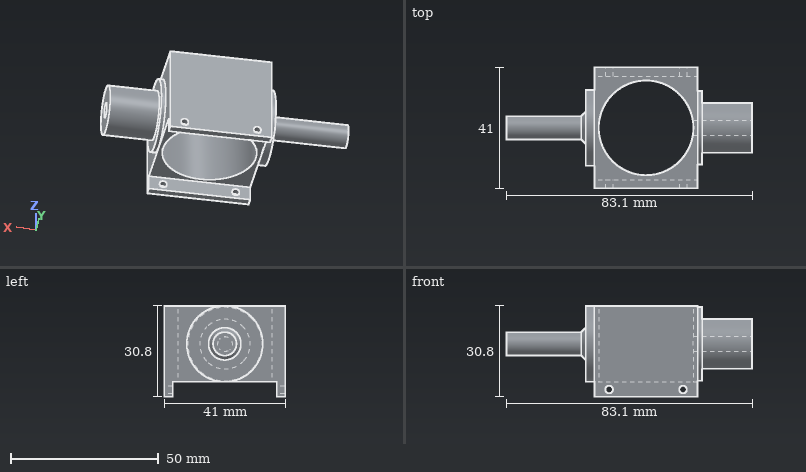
import cadquery as cq

total_length = 83.1
flange_thickness = 3.0
cone_length = 1.5
block_length = 35.0
collar_thickness = 1.5
boss_length = 16.9
flange_end_x = total_length - boss_length - collar_thickness - block_length
collar_start_x = flange_end_x + block_length

block_width = 41.0
block_height = 30.8
bore_diameter = 32.0
leg_thickness = 3.0
leg_height = 5.1
body_height = block_height - leg_height
block_center_x = flange_end_x + block_length / 2

leg_hole_diameter = 2.5
leg_hole_end_offset = 5.0
leg_hole_z = leg_hole_diameter

axis_z = leg_height + body_height / 2
flange_diameter = body_height
shaft_diameter = 8.0
collar_diameter = 25.0
boss_diameter = 16.95
boss_hole_diameter = 5.0


def cylinder_along_x(start_x, length, diameter):
    """Round bar on the common axis, running toward +X from start_x."""
    return (
        cq.Workplane("YZ", origin=(start_x, 0, axis_z))
        .circle(diameter / 2)
        .extrude(length)
    )


def make_block():
    """Rectangular block with a leg along each Y side."""
    block = cq.Workplane("XY").box(block_length, block_width, block_height, centered=(True, True, False))
    channel = cq.Workplane("XY").box(
        block_length, block_width - 2 * leg_thickness, leg_height, centered=(True, True, False)
    )
    return block.cut(channel).translate((block_center_x, 0, 0))


def make_leg_holes():
    """Cutters for the two cross holes through both legs."""
    hole_spacing = block_length - 2 * leg_hole_end_offset
    return (
        cq.Workplane("XZ", origin=(block_center_x, 0, leg_hole_z))
        .rarray(hole_spacing, 0.8, 2, 1)
        .circle(leg_hole_diameter / 2)
        .extrude(block_width / 2, both=True)
    )


def make_housing():
    """Block with its vertical bore and a hollow, collared boss on the +X end."""
    collar = cylinder_along_x(collar_start_x, collar_thickness, collar_diameter)
    boss = cylinder_along_x(collar_start_x + collar_thickness, boss_length, boss_diameter)
    bore = (
        cq.Workplane("XY", origin=(block_center_x, 0, 0))
        .circle(bore_diameter / 2)
        .extrude(block_height)
    )
    boss_hole = cylinder_along_x(block_center_x, total_length - block_center_x, boss_hole_diameter)
    return make_block().union(collar).union(boss).cut(bore).cut(boss_hole).cut(make_leg_holes())


def make_flanged_shaft():
    """Shaft with a 45 degree cone at its root, on the flange that seats on the block."""
    shaft_radius = shaft_diameter / 2
    flange_start_x = flange_end_x - flange_thickness
    half_profile = (
        cq.Workplane("XZ", origin=(0, 0, axis_z))
        .lineTo(0, shaft_radius)
        .lineTo(flange_start_x - cone_length, shaft_radius)
        .lineTo(flange_start_x, shaft_radius + cone_length)
        .lineTo(flange_start_x, flange_diameter / 2)
        .lineTo(flange_end_x, flange_diameter / 2)
        .lineTo(flange_end_x, 0)
        .close()
    )
    return half_profile.revolve(360, (0, 0, 0), (1, 0, 0))


housing = make_housing()
flanged_shaft = make_flanged_shaft()

result = cq.Compound.makeCompound([housing.val(), flanged_shaft.val()])